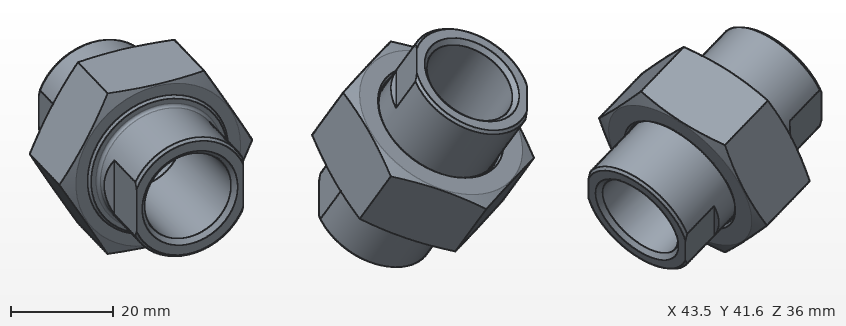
import cadquery as cq
import math

LENGTH = 43.5
START_X = -LENGTH / 2
END_X = LENGTH / 2

TUBE_DIA = 26.0
BORE_DIA = 18.6
BORE_MOUTH_DIA = 20.58
END_CHAMFER = 0.55

NUT_WIDTH = 36.0
NUT_START_X = START_X + 13.55
NUT_LENGTH = 15.45
NUT_END_X = NUT_START_X + NUT_LENGTH
NUT_FACE_DIA = 35.5
NUT_CORNER_CUT = 0.95
NUT_HOLE_DIA = 26.5
NUT_HOLE_CHAMFER = 0.5
NUT_LIP = 3.5
NUT_CORNER_DIA = NUT_WIDTH / math.cos(math.pi / 6)

FLANGE_DIA = 29.5
FLANGE_LENGTH = 3.5
FLANGE_START_X = NUT_START_X + NUT_LIP
JOINT_X = FLANGE_START_X + FLANGE_LENGTH

COLLAR_DIA = 30.35
COLLAR_PROJECTION = 0.52
COLLAR_CHAMFER = 0.52
COLLAR_FILLET = 0.65
COLLAR_END_X = NUT_END_X + COLLAR_PROJECTION

TAIL_FLAT_WIDTH = 24.0
TAIL_FLAT_LENGTH = 9.0
TAIL_SHOULDER_ANGLE = 15.0
THREADED_FLAT_WIDTH = 23.0
THREADED_FLAT_LENGTH = 10.05
THREADED_SHOULDER_ANGLE = 45.0
CUTTER_CLEARANCE = 0.45


def revolve_about_x(profile):
    return profile.close().revolve(360, (0, 0, 0), (1, 0, 0))


def flat_cutters(end_x, inward, width, length, shoulder_angle):
    """Two cutters that leave flats at Y = +/- width / 2, from the tube end inward along X."""
    inner_y = width / 2
    outer_y = TUBE_DIA / 2 + CUTTER_CLEARANCE
    flat_end_x = end_x + inward * length
    slope_run = (outer_y - inner_y) * math.tan(math.radians(shoulder_angle))
    cutter = (
        cq.Workplane("XY")
        .moveTo(end_x, inner_y)
        .lineTo(flat_end_x, inner_y)
        .lineTo(flat_end_x + inward * slope_run, outer_y)
        .lineTo(end_x, outer_y)
        .close()
        .extrude(TUBE_DIA / 2, both=True)
    )
    return cutter.union(cutter.mirror("XZ"))


def make_tailpiece():
    tube_r = TUBE_DIA / 2
    bore_r = BORE_DIA / 2
    mouth_r = BORE_MOUTH_DIA / 2
    body = revolve_about_x(
        cq.Workplane("XY")
        .moveTo(START_X, mouth_r)
        .lineTo(START_X, tube_r - END_CHAMFER)
        .lineTo(START_X + END_CHAMFER, tube_r)
        .lineTo(FLANGE_START_X, tube_r)
        .lineTo(FLANGE_START_X, FLANGE_DIA / 2)
        .lineTo(JOINT_X, FLANGE_DIA / 2)
        .lineTo(JOINT_X, bore_r)
        .lineTo(START_X + mouth_r - bore_r, bore_r)
    )
    return body.cut(flat_cutters(START_X, 1, TAIL_FLAT_WIDTH, TAIL_FLAT_LENGTH, TAIL_SHOULDER_ANGLE))


def make_threaded_piece():
    tube_r = TUBE_DIA / 2
    bore_r = BORE_DIA / 2
    mouth_r = BORE_MOUTH_DIA / 2
    collar_r = COLLAR_DIA / 2
    arc_offset = COLLAR_FILLET * (1 - math.sqrt(0.5))
    body = revolve_about_x(
        cq.Workplane("XY")
        .moveTo(JOINT_X, bore_r)
        .lineTo(JOINT_X, collar_r)
        .lineTo(COLLAR_END_X - COLLAR_CHAMFER, collar_r)
        .lineTo(COLLAR_END_X, collar_r - COLLAR_CHAMFER)
        .lineTo(COLLAR_END_X, tube_r + COLLAR_FILLET)
        .threePointArc(
            (COLLAR_END_X + arc_offset, tube_r + arc_offset),
            (COLLAR_END_X + COLLAR_FILLET, tube_r),
        )
        .lineTo(END_X - END_CHAMFER, tube_r)
        .lineTo(END_X, tube_r - END_CHAMFER)
        .lineTo(END_X, mouth_r)
        .lineTo(END_X - (mouth_r - bore_r), bore_r)
    )
    return body.cut(
        flat_cutters(END_X, -1, THREADED_FLAT_WIDTH, THREADED_FLAT_LENGTH, THREADED_SHOULDER_ANGLE)
    )


def make_nut():
    hexagon = (
        cq.Workplane("YZ", origin=(NUT_START_X, 0, 0)).polygon(6, NUT_CORNER_DIA).extrude(NUT_LENGTH)
    )
    hole_r = NUT_HOLE_DIA / 2
    envelope = revolve_about_x(
        cq.Workplane("XY")
        .moveTo(NUT_START_X, hole_r + NUT_HOLE_CHAMFER)
        .lineTo(NUT_START_X, NUT_FACE_DIA / 2)
        .lineTo(NUT_START_X + NUT_CORNER_CUT, NUT_CORNER_DIA / 2)
        .lineTo(NUT_END_X - NUT_CORNER_CUT, NUT_CORNER_DIA / 2)
        .lineTo(NUT_END_X, NUT_FACE_DIA / 2)
        .lineTo(NUT_END_X, COLLAR_DIA / 2)
        .lineTo(FLANGE_START_X, COLLAR_DIA / 2)
        .lineTo(FLANGE_START_X, hole_r)
        .lineTo(NUT_START_X + NUT_HOLE_CHAMFER, hole_r)
    )
    return hexagon.intersect(envelope)


tailpiece = make_tailpiece()
threaded_piece = make_threaded_piece()
nut = make_nut()

result = cq.Compound.makeCompound([tailpiece.val(), threaded_piece.val(), nut.val()])